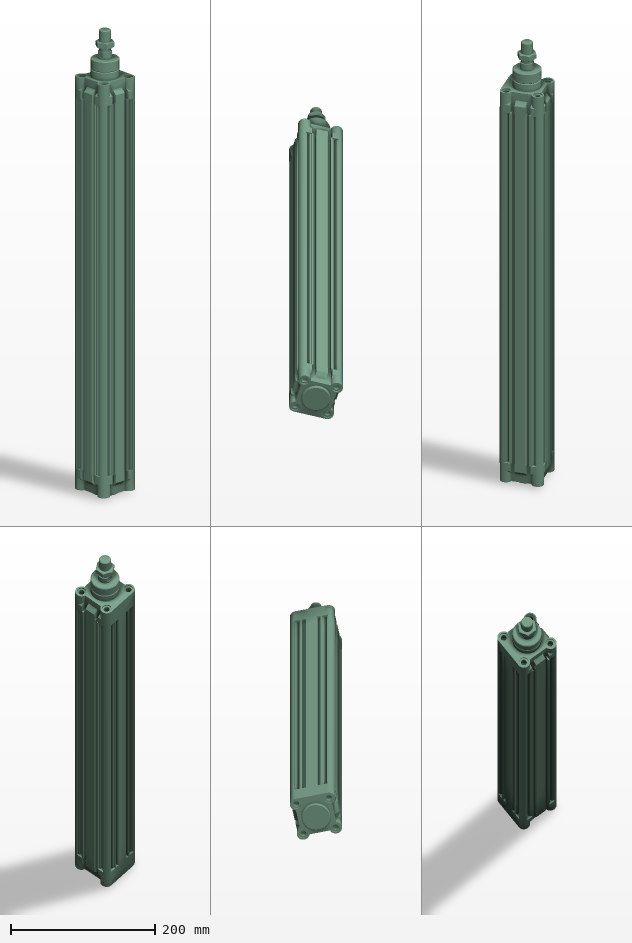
import cadquery as cq
import math

total_length = 679.0
side = 64.0
half_side = side / 2

cap_height = 30.5
rear_boss_height = 4.0
collar_height = 27.0
collar_top = 637.5
rod_shoulder = 648.0
rear_cap_top = rear_boss_height + cap_height
front_cap_top = collar_top - collar_height
front_cap_base = front_cap_top - cap_height

column_radius = 9.0
column_offset = half_side - column_radius
recess_depth = 6.45
recess_face = half_side - recess_depth
tab_height = 12.0
ramp_height = 6.0
middle_tab_width = 16.0
side_tab_inner = 15.0

counterbore_diameter = 13.0
counterbore_depth = 2.0
thread_diameter = 8.0
thread_depth = 13.5
core_diameter = 6.65
core_depth = 15.5
drill_tip_angle = 118.0

collar_diameter = 40.0
collar_chamfer = 1.0
groove_diameter = collar_diameter - 2 * collar_chamfer
groove_level = 622.0

middle_rib_half = 9.0
middle_rib_chamfer = 1.5
side_rib_inner = 13.0
slot_start = 15.0
slot_end = 24.0
slot_step_depth = 2.0
slot_step_width = 2.0
slot_depth = 6.0

rod_diameter = 20.0
stud_diameter = 16.0
stud_chamfer = 1.0
wrench_flat_width = 17.0
wrench_flat_base = 639.5
nut_across_flats = 24.0
nut_base = 654.0
nut_height = 8.0
nut_bevel_angle = 30.0


def block(x_range, y_range, z_range):
    """Box between the given limits."""
    size = [high - low for low, high in (x_range, y_range, z_range)]
    corner = (x_range[0], y_range[0], z_range[0])
    return cq.Workplane("XY").box(*size, centered=False).translate(corner)


def tab(x_min, x_max):
    """Tab on the -Y face of a cap that starts at Z = 0, with a sloped upper end."""
    profile = [
        (-recess_face, 0),
        (-half_side, 0),
        (-half_side, tab_height),
        (-recess_face, tab_height + ramp_height),
    ]
    return cq.Workplane("YZ").workplane(offset=x_min).polyline(profile).close().extrude(x_max - x_min)


def mounting_hole():
    """Counterbored threaded hole, with a drilled core below it, running down from Z = 0."""
    core_radius = core_diameter / 2
    tip_length = core_radius / math.tan(math.radians(drill_tip_angle / 2))
    profile = [
        (0, 0),
        (counterbore_diameter / 2, 0),
        (counterbore_diameter / 2, -counterbore_depth),
        (thread_diameter / 2, -counterbore_depth),
        (thread_diameter / 2, -thread_depth),
        (core_radius, -thread_depth),
        (core_radius, -core_depth),
        (0, -core_depth - tip_length),
    ]
    return cq.Workplane("XZ").polyline(profile).close().revolve(360, (0, 0, 0), (0, 1, 0))


def make_cap():
    """Cap standing on Z = 0: its barrel side is down and its mounting face is up.

    The -X, -Y and +X faces are recessed between the columns; the +Y face is flush.
    """
    core = block(
        (-recess_face, recess_face),
        (-recess_face, recess_face),
        (0, cap_height),
    )
    flush_side = block(
        (-column_offset, column_offset),
        (0, half_side),
        (0, cap_height),
    )
    cap = core.union(flush_side)
    columns = (
        cq.Workplane("XY").rect(2 * column_offset, 2 * column_offset, forConstruction=True)
        .vertices().circle(column_radius).extrude(cap_height)
    )
    cap = cap.union(columns)
    face_tabs = (
        tab(-middle_tab_width / 2, middle_tab_width / 2)
        .union(tab(-column_offset, -side_tab_inner))
        .union(tab(side_tab_inner, column_offset))
    )
    for turn in (-90, 0, 90):
        cap = cap.union(face_tabs.rotate((0, 0, 0), (0, 0, 1), turn))
    for x in (-column_offset, column_offset):
        for y in (-column_offset, column_offset):
            cap = cap.cut(mounting_hole().translate((x, y, cap_height)))
    return cap


def side_groove_profiles():
    """Outlines of the grooves in the -Y side of the barrel.

    On either side of the middle rib there is a deep gap, then a stepped sensor slot with a V floor.
    """
    outer = -half_side
    profiles = []
    for sign in (-1, 1):
        rib_gap = [
            (sign * (middle_rib_half - middle_rib_chamfer), outer),
            (sign * middle_rib_half, outer + middle_rib_chamfer),
            (sign * middle_rib_half, -recess_face),
            (sign * side_rib_inner, -recess_face),
            (sign * side_rib_inner, outer),
        ]
        sensor_slot = [
            (sign * slot_start, outer),
            (sign * slot_start, outer + slot_step_depth),
            (sign * (slot_start + slot_step_width), outer + slot_step_depth),
            (sign * (slot_start + slot_end) / 2, outer + slot_depth),
            (sign * (slot_end - slot_step_width), outer + slot_step_depth),
            (sign * slot_end, outer + slot_step_depth),
            (sign * slot_end, outer),
        ]
        profiles += [rib_gap, sensor_slot]
    return profiles


def make_barrel():
    """Round-cornered square profile between the two caps, grooved alike on all four sides."""
    length = front_cap_base - rear_cap_top
    base_plane = cq.Workplane("XY").workplane(offset=rear_cap_top)
    barrel = base_plane.rect(side, side).extrude(length).edges("|Z").fillet(column_radius)
    for profile in side_groove_profiles():
        groove = base_plane.polyline(profile).close().extrude(length)
        for quarter in range(4):
            barrel = barrel.cut(groove.rotate((0, 0, 0), (0, 0, 1), 90 * quarter))
    return barrel


def make_front_collar():
    """Collar around the rod, chamfered at the top, with a shallow V groove."""
    collar = (
        cq.Workplane("XY").workplane(offset=front_cap_top)
        .circle(collar_diameter / 2).extrude(collar_height)
        .faces(">Z").chamfer(collar_chamfer)
    )
    groove_profile = [
        (groove_diameter / 2, groove_level),
        (collar_diameter / 2, groove_level + collar_chamfer),
        (collar_diameter / 2, groove_level - collar_chamfer),
    ]
    groove = cq.Workplane("XZ").polyline(groove_profile).close().revolve(360, (0, 0, 0), (0, 1, 0))
    return collar.cut(groove)


def make_rear_boss():
    """Centring boss under the rear cap, chamfered at its free end."""
    return (
        cq.Workplane("XY").circle(collar_diameter / 2).extrude(rear_boss_height)
        .faces("<Z").chamfer(collar_chamfer)
    )


def make_housing():
    """Barrel, caps, collar and boss as one body, with the bore that takes the rod."""
    front_cap = make_cap().translate((0, 0, front_cap_base))
    rear_cap = make_cap().mirror("XY").translate((0, 0, rear_cap_top))
    rod_bore = (
        cq.Workplane("XY").workplane(offset=front_cap_base)
        .circle(rod_diameter / 2).extrude(collar_top - front_cap_base)
    )
    housing = make_barrel()
    for piece in (front_cap, rear_cap, make_front_collar(), make_rear_boss()):
        housing = housing.union(piece, clean=False)
    return housing.cut(rod_bore, clean=False)


def make_rod():
    """Piston rod with two wrench flats and a plain cylindrical stud."""
    rod = (
        cq.Workplane("XY").workplane(offset=front_cap_base)
        .circle(rod_diameter / 2).extrude(rod_shoulder - front_cap_base)
    )
    flat_depth = (rod_diameter - wrench_flat_width) / 2
    flat_height = rod_shoulder - wrench_flat_base
    for sign in (-1, 1):
        flat_cut = cq.Workplane("XY").box(rod_diameter, flat_depth, flat_height).translate(
            (0, sign * (wrench_flat_width + flat_depth) / 2, wrench_flat_base + flat_height / 2)
        )
        rod = rod.cut(flat_cut)
    stud = (
        cq.Workplane("XY").workplane(offset=rod_shoulder)
        .circle(stud_diameter / 2).extrude(total_length - rod_shoulder)
        .faces(">Z").chamfer(stud_chamfer)
    )
    return rod.union(stud)


def make_nut():
    """Hexagonal lock nut with corners on the Y axis, beveled on both faces."""
    across_corners = nut_across_flats / math.cos(math.pi / 6)
    corner_radius = across_corners / 2
    flat_radius = nut_across_flats / 2
    bevel_height = (corner_radius - flat_radius) * math.tan(math.radians(nut_bevel_angle))
    hexagon = cq.Workplane("XY").polygon(6, across_corners).extrude(nut_height)
    bevel_profile = [
        (0, 0),
        (flat_radius, 0),
        (corner_radius, bevel_height),
        (corner_radius, nut_height - bevel_height),
        (flat_radius, nut_height),
        (0, nut_height),
    ]
    bevel = cq.Workplane("XZ").polyline(bevel_profile).close().revolve(360, (0, 0, 0), (0, 1, 0))
    thread = cq.Workplane("XY").circle(stud_diameter / 2).extrude(nut_height)
    nut = hexagon.rotate((0, 0, 0), (0, 0, 1), 90).intersect(bevel).cut(thread)
    return nut.translate((0, 0, nut_base))


housing = make_housing()
rod = make_rod()
nut = make_nut()

result = cq.Compound.makeCompound([housing.val(), rod.val(), nut.val()])